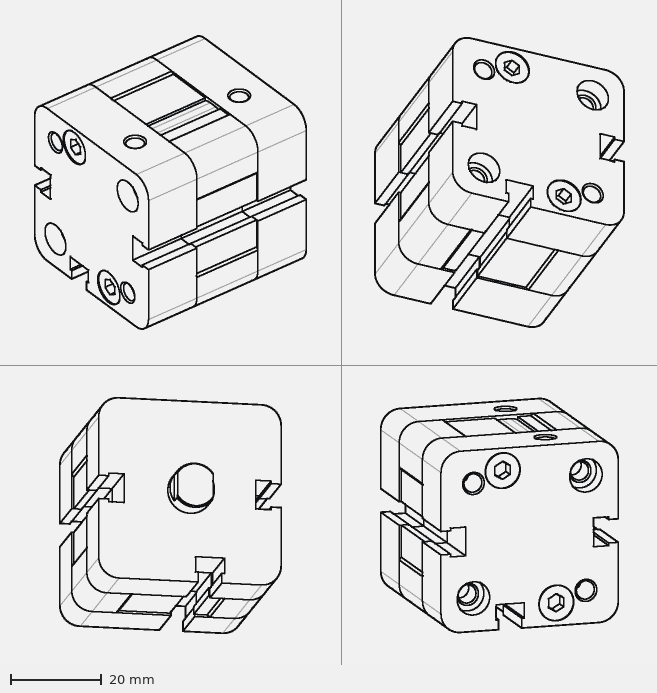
import cadquery as cq
import math


WIDTH = 41.0
HALF = WIDTH / 2
CORNER_RADIUS = 4.5
CAP_LENGTH = 13.5
BARREL_LENGTH = 17.0
BARREL_START = CAP_LENGTH
REAR_CAP_START = BARREL_START + BARREL_LENGTH
BODY_LENGTH = REAR_CAP_START + CAP_LENGTH

SLOT_WIDTH = 6.5
SLOT_DEPTH = 5.7
MOUTH_WIDTH = 5.3
LIP_DEPTH = 2.25
CAP_BOTTOM_SLOT_X = -4.5
BARREL_BOTTOM_SLOT_X = -4.25

RECESS_WIDTH = 21.0
RECESS_DEPTH = 0.5
RECESS_FLOOR_WIDTH = 19.8

GROOVE_X = 4.25
GROOVE_WIDTH = 5.3
GROOVE_CROWN_WIDTH = 2.0
GROOVE_CROWN_DEPTH = 0.85
GROOVE_ARC_RADIUS = 4.0

THREAD_DIAMETER = 4.13
THREAD_CHAMFER_DIAMETER = 5.0
MOUNT_SPACING = 26.0
MOUNT_DEPTH = 10.0
COUNTERBORE_DIAMETER = 7.5
COUNTERBORE_DEPTH = 4.2
PORT_X = 6.0
PORT_INSET = 7.5
PORT_DEPTH = 6.0

SCREW_X = 6.2
SCREW_Z = 15.4
SCREW_DIAMETER = 8.0
SCREW_SINK = 0.3
HEX_FLATS = 3.5
HEX_DEPTH = 3.0

ROD_DIAMETER = 10.0
ROD_PROTRUSION = 6.0
ROD_FLATS = 8.0
ROD_FLAT_LENGTH = 3.5
ROD_CHAMFER_LENGTH = 0.5
ROD_CHAMFER_DEPTH = 0.25


def section_plane(y):
    """Plane across the body at y: local x is X, local y is Z, and the normal points to -Y."""
    return cq.Workplane("XZ", origin=(0, y, 0))


def slot_cutter(start, length, angle, offset):
    """T-slot opening downward at X = offset, then turned about Y by the angle."""
    floor = -HALF + SLOT_DEPTH
    lip = -HALF + LIP_DEPTH
    throat = section_plane(start).center(offset, (floor + lip) / 2).rect(SLOT_WIDTH, floor - lip)
    mouth = section_plane(start).center(offset, (lip - HALF) / 2).rect(MOUTH_WIDTH, LIP_DEPTH)
    slot = throat.extrude(-length).union(mouth.extrude(-length))
    return slot.rotate((0, 0, 0), (0, 1, 0), angle)


def slotted_block(start, length, bottom_slot_x):
    """Rounded square block with T-slots on the bottom and on both sides."""
    block = section_plane(start).rect(WIDTH, WIDTH).extrude(-length).edges("|Y").fillet(CORNER_RADIUS)
    for angle, offset in ((0, bottom_slot_x), (90, 0), (-90, 0)):
        block = block.cut(slot_cutter(start, length, angle, offset))
    return block


def threaded_hole(depth):
    """Hole cutter opening at Z = 0 and running down, with a 45 degree chamfer at its mouth."""
    radius = THREAD_DIAMETER / 2
    mouth_radius = THREAD_CHAMFER_DIAMETER / 2
    profile = [
        (0, 0),
        (mouth_radius, 0),
        (radius, radius - mouth_radius),
        (radius, -depth),
        (0, -depth),
    ]
    return cq.Workplane("XZ").polyline(profile).close().revolve(360, (0, 0, 0), (0, 1, 0))


def air_port(y):
    return threaded_hole(PORT_DEPTH).translate((PORT_X, y, HALF))


def mounting_hole(x, z, sink):
    """Hole cutter running toward +Y from a mouth that lies at the depth sink."""
    hole = threaded_hole(MOUNT_DEPTH - sink)
    return hole.rotate((0, 0, 0), (1, 0, 0), 90).translate((x, sink, z))


def screw_head_cutter(x, z):
    """Shallow round sink with a hexagon socket, one corner of the hexagon pointing up."""
    hex_corners = HEX_FLATS / math.cos(math.pi / 6)
    sink = section_plane(0).center(x, z).circle(SCREW_DIAMETER / 2).extrude(-SCREW_SINK)
    socket = cq.Workplane("XZ").polygon(6, hex_corners).extrude(-(SCREW_SINK + HEX_DEPTH))
    socket = socket.rotate((0, 0, 0), (0, 1, 0), 90).translate((x, 0, z))
    return sink.union(socket)


def make_front_cap():
    cap = slotted_block(0, CAP_LENGTH, CAP_BOTTOM_SLOT_X)
    for x_side in (-1, 1):
        for z_side in (-1, 1):
            x = x_side * MOUNT_SPACING / 2
            z = z_side * MOUNT_SPACING / 2
            counterbored = x_side == z_side
            sink = COUNTERBORE_DEPTH if counterbored else 0
            if counterbored:
                bore = section_plane(0).center(x, z).circle(COUNTERBORE_DIAMETER / 2)
                cap = cap.cut(bore.extrude(-COUNTERBORE_DEPTH))
            cap = cap.cut(mounting_hole(x, z, sink))
    for side in (-1, 1):
        cap = cap.cut(screw_head_cutter(side * SCREW_X, -side * SCREW_Z))
    return cap.cut(air_port(PORT_INSET))


def recess_cutter(angle):
    """Shallow tapered recess in the top side of the barrel, turned about Y by the angle."""
    profile = [
        (-RECESS_WIDTH / 2, HALF),
        (-RECESS_FLOOR_WIDTH / 2, HALF - RECESS_DEPTH),
        (RECESS_FLOOR_WIDTH / 2, HALF - RECESS_DEPTH),
        (RECESS_WIDTH / 2, HALF),
    ]
    recess = section_plane(BARREL_START).polyline(profile).close().extrude(-BARREL_LENGTH)
    return recess.rotate((0, 0, 0), (0, 1, 0), angle)


def groove_cutter():
    """Groove whose floor is flat in the middle and falls away along a tangent arc on both sides."""
    half_width = GROOVE_WIDTH / 2
    half_crown = GROOVE_CROWN_WIDTH / 2
    crown_z = HALF - GROOVE_CROWN_DEPTH
    arc_center_z = crown_z - GROOVE_ARC_RADIUS
    full_angle = math.asin((half_width - half_crown) / GROOVE_ARC_RADIUS)

    def arc_point(angle):
        return (
            half_crown + GROOVE_ARC_RADIUS * math.sin(angle),
            arc_center_z + GROOVE_ARC_RADIUS * math.cos(angle),
        )

    mid_x, mid_z = arc_point(full_angle / 2)
    edge_x, edge_z = arc_point(full_angle)
    return (
        section_plane(BARREL_START)
        .center(GROOVE_X, 0)
        .moveTo(-edge_x, HALF)
        .lineTo(-edge_x, edge_z)
        .threePointArc((-mid_x, mid_z), (-half_crown, crown_z))
        .lineTo(half_crown, crown_z)
        .threePointArc((mid_x, mid_z), (edge_x, edge_z))
        .lineTo(edge_x, HALF)
        .close()
        .extrude(-BARREL_LENGTH)
    )


def make_barrel():
    barrel = slotted_block(BARREL_START, BARREL_LENGTH, BARREL_BOTTOM_SLOT_X)
    for angle in (0, 90, 180, 270):
        barrel = barrel.cut(recess_cutter(angle))
    return barrel.cut(groove_cutter())


def make_rear_cap():
    cap = slotted_block(REAR_CAP_START, CAP_LENGTH, CAP_BOTTOM_SLOT_X)
    rod_bore = section_plane(REAR_CAP_START).circle(ROD_DIAMETER / 2).extrude(-CAP_LENGTH)
    return cap.cut(rod_bore).cut(air_port(BODY_LENGTH - PORT_INSET))


def make_piston_rod():
    """Rod through the rear cap, with a chamfered tip and two wrench flats facing -X and +X."""
    rod_length = CAP_LENGTH + ROD_PROTRUSION
    rod_end = BODY_LENGTH + ROD_PROTRUSION
    rod = section_plane(REAR_CAP_START).circle(ROD_DIAMETER / 2).extrude(-rod_length)
    rod = rod.faces(">Y").chamfer(ROD_CHAMFER_LENGTH, ROD_CHAMFER_DEPTH)
    tip_zone = section_plane(rod_end).rect(ROD_DIAMETER, ROD_DIAMETER).extrude(ROD_FLAT_LENGTH)
    kept_tip = section_plane(rod_end).rect(ROD_FLATS, ROD_DIAMETER).extrude(ROD_FLAT_LENGTH)
    return rod.cut(tip_zone.cut(kept_tip))


front_cap = make_front_cap()
barrel = make_barrel()
rear_cap = make_rear_cap()
piston_rod = make_piston_rod()

result = cq.Compound.makeCompound([front_cap.val(), barrel.val(), rear_cap.val(), piston_rod.val()])